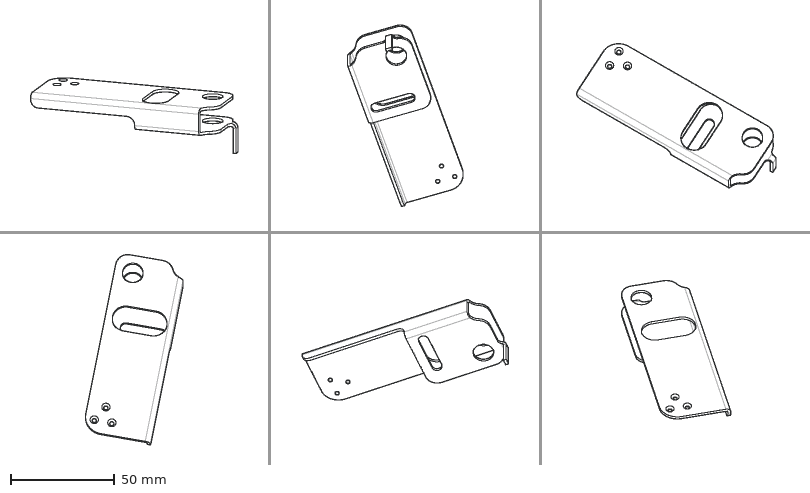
import cadquery as cq
import math

length = 94.0
depth = 33.5
channel_height = 13.7
thickness = 1.5
bend_inner = 1.0
bend_outer = bend_inner + thickness
lower_flange_top = thickness - channel_height

wall_height = 7.0
lower_start = 53.5
wall_corner_radius = 4.0

upper_left_radius = 9.0
lower_left_radius = 6.0
back_right_radius = 6.0
s_curve_radius = 6.5
hollow_center_y = -0.3
wall_end = 86.5

total_length = 97.5
total_height = 27.2
tab_width = 3.0
tab_root_radius = 2.5

axis_y = 24.5
pivot_x = 85.0
pivot_diameter = 10.0
screw_center_x = 9.0
screw_circle_radius = 5.0
screw_count = 3
screw_diameter = 2.0
countersink_diameter = 4.0
countersink_angle = 90
slot_x = 61.0
upper_slot_width = 13.0
upper_slot_front = 3.25
upper_slot_back = 30.0
lower_slot_width = 5.0
lower_slot_front = 3.9
lower_slot_back = 26.1


def make_channel():
    """U section open to the back, extruded along the full flange length."""
    outer = (
        cq.Workplane("XY")
        .box(length, depth, channel_height, centered=False)
        .translate((0, 0, -channel_height))
        .edges("|X and <Y")
        .fillet(bend_outer)
    )
    inner = (
        cq.Workplane("XY")
        .box(length, depth, channel_height - 2 * thickness, centered=False)
        .translate((0, thickness, lower_flange_top))
        .edges("|X and <Y")
        .fillet(bend_inner)
    )
    return outer.cut(inner)


def make_front_outline():
    """Stepped side outline: shallow wall at the left, full height at the right."""
    r = wall_corner_radius
    diagonal = r * math.sqrt(0.5)
    step_center = (lower_start - r, -wall_height - r)
    end_center = (r, r - wall_height)
    return (
        cq.Workplane("XZ")
        .moveTo(0, 0)
        .lineTo(length, 0)
        .lineTo(length, -channel_height)
        .lineTo(lower_start, -channel_height)
        .lineTo(lower_start, step_center[1])
        .threePointArc(
            (step_center[0] + diagonal, step_center[1] + diagonal),
            (step_center[0], -wall_height),
        )
        .lineTo(r, -wall_height)
        .threePointArc(
            (end_center[0] - diagonal, end_center[1] - diagonal),
            (0, end_center[1]),
        )
        .close()
        .extrude(-depth)
    )


def make_flange_outline(left, left_radius, z_bottom, height):
    """Plan outline with rounded back corners and an S-curve into the wall end at the front right."""
    r = s_curve_radius
    hollow_x = wall_end + math.sqrt(r**2 - hollow_center_y**2)
    corner_x = length - r
    corner_y = hollow_center_y + math.sqrt((2 * r) ** 2 - (hollow_x - corner_x) ** 2)
    join = ((hollow_x + corner_x) / 2, (hollow_center_y + corner_y) / 2)
    half_turn = math.atan2(corner_y - hollow_center_y, hollow_x - corner_x) / 2
    along = r * math.cos(half_turn)
    across = r * math.sin(half_turn)
    back_x = length - back_right_radius
    back_y = depth - back_right_radius
    back_diagonal = back_right_radius * math.sqrt(0.5)
    left_diagonal = left_radius * math.sqrt(0.5)
    return (
        cq.Workplane("XY", origin=(0, 0, z_bottom))
        .moveTo(left, 0)
        .lineTo(wall_end, 0)
        .threePointArc((hollow_x - along, hollow_center_y + across), join)
        .threePointArc((corner_x + along, corner_y - across), (length, corner_y))
        .lineTo(length, back_y)
        .threePointArc(
            (back_x + back_diagonal, back_y + back_diagonal),
            (back_x, depth),
        )
        .lineTo(left + left_radius, depth)
        .threePointArc(
            (left + left_radius - left_diagonal, depth - left_radius + left_diagonal),
            (left, depth - left_radius),
        )
        .close()
        .extrude(height)
    )


def make_tab():
    """Narrow tongue of the lower flange, flared at its root and bent straight down."""
    root_x = length - thickness
    root_half = tab_width / 2 + tab_root_radius
    strip = (
        cq.Workplane("XZ", origin=(0, axis_y + root_half, 0))
        .moveTo(root_x, lower_flange_top)
        .lineTo(total_length, lower_flange_top)
        .lineTo(total_length, -total_height)
        .lineTo(total_length - thickness, -total_height)
        .lineTo(total_length - thickness, -channel_height)
        .lineTo(root_x, -channel_height)
        .close()
        .extrude(2 * root_half)
    )
    outer_corner = (total_length, axis_y, lower_flange_top)
    inner_corner = (total_length - thickness, axis_y, -channel_height)
    strip = strip.edges(cq.selectors.NearestToPointSelector(outer_corner)).fillet(bend_outer)
    strip = strip.edges(cq.selectors.NearestToPointSelector(inner_corner)).fillet(bend_inner)

    tongue = (
        cq.Workplane("XY", origin=(root_x, axis_y - tab_width / 2, -total_height))
        .box(total_length - root_x, tab_width, total_height, centered=False)
    )
    flare_bottom = -channel_height - bend_inner
    flare_height = lower_flange_top - flare_bottom
    flare_pad = (
        cq.Workplane("XY", origin=(root_x, axis_y - root_half, flare_bottom))
        .box(length + tab_root_radius - root_x, 2 * root_half, flare_height, centered=False)
    )
    root_rounds = (
        cq.Workplane("XY", origin=(length + tab_root_radius, axis_y, flare_bottom))
        .pushPoints([(0, -root_half), (0, root_half)])
        .circle(tab_root_radius)
        .extrude(flare_height)
    )
    return strip.intersect(tongue.union(flare_pad.cut(root_rounds)))


def cut_slot(body, width, front, back, z_top):
    """Round-ended slot along Y through the flange whose top face is at z_top."""
    cutter = (
        cq.Workplane("XY", origin=(slot_x, (front + back) / 2, z_top))
        .slot2D(back - front, width, 90)
        .extrude(-thickness)
    )
    return body.cut(cutter)


def cut_pivot_hole(body):
    """Round hole through both flanges."""
    cutter = (
        cq.Workplane("XY", origin=(pivot_x, axis_y, 0))
        .circle(pivot_diameter / 2)
        .extrude(-channel_height)
    )
    return body.cut(cutter)


def cut_screw_holes(body):
    """Countersunk holes equally spaced on a circle in the upper flange."""
    return (
        cq.Workplane("XY", origin=(screw_center_x, axis_y, 0))
        .add(body)
        .polarArray(screw_circle_radius, 0, 360, screw_count)
        .cskHole(screw_diameter, countersink_diameter, countersink_angle, depth=thickness)
    )


def make_plan_envelope():
    """Upper and lower flange outlines, plus the wall that overhangs left of the lower flange."""
    half_height = channel_height / 2
    upper = make_flange_outline(0, upper_left_radius, -half_height, half_height)
    lower = make_flange_outline(lower_start, lower_left_radius, -channel_height, half_height)
    wall_strip = (
        cq.Workplane("XY", origin=(0, 0, -channel_height))
        .box(lower_start, bend_outer, channel_height, centered=False)
    )
    return upper.union(lower).union(wall_strip)


result = make_channel().intersect(make_front_outline()).intersect(make_plan_envelope())
result = result.union(make_tab())
result = cut_slot(result, upper_slot_width, upper_slot_front, upper_slot_back, 0)
result = cut_slot(result, lower_slot_width, lower_slot_front, lower_slot_back, lower_flange_top)
result = cut_pivot_hole(result)
result = cut_screw_holes(result)